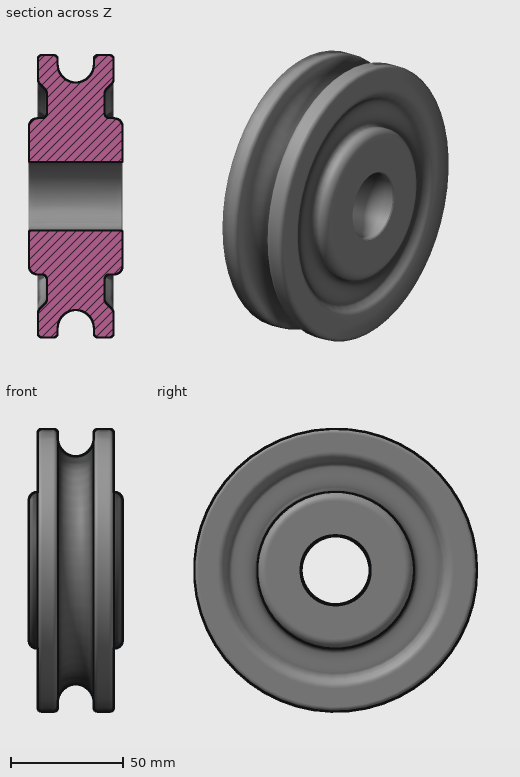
import cadquery as cq

wheel_radius = 63.0
rim_half_width = 17.0
hub_half_width = 20.98
hub_radius = 34.9
bore_radius = 15.1
bore_chamfer = 0.5

groove_radius = 8.0
groove_depth = 12.2

recess_depth = 4.0
recess_floor_radius = 46.9
recess_mouth_radius = recess_floor_radius + recess_depth

small_round = 2.0
large_round = 4.0

floor_half_width = rim_half_width - recess_depth
groove_center_radius = wheel_radius - groove_depth + groove_radius


def make_blank():
    """Revolve the sharp-edged section, drawn as (axial, radial) points."""
    section = (
        cq.Workplane("XY")
        .moveTo(-hub_half_width, bore_radius)
        .lineTo(-hub_half_width, hub_radius)
        .lineTo(-floor_half_width, hub_radius)
        .lineTo(-floor_half_width, recess_floor_radius)
        .lineTo(-rim_half_width, recess_mouth_radius)
        .lineTo(-rim_half_width, wheel_radius)
        .lineTo(-groove_radius, wheel_radius)
        .lineTo(-groove_radius, groove_center_radius)
        .threePointArc((0, wheel_radius - groove_depth), (groove_radius, groove_center_radius))
        .lineTo(groove_radius, wheel_radius)
        .lineTo(rim_half_width, wheel_radius)
        .lineTo(rim_half_width, recess_mouth_radius)
        .lineTo(floor_half_width, recess_floor_radius)
        .lineTo(floor_half_width, hub_radius)
        .lineTo(hub_half_width, hub_radius)
        .lineTo(hub_half_width, bore_radius)
        .close()
    )
    return section.revolve(360, (0, 0, 0), (1, 0, 0))


def circle_edges(body, axial, radius):
    """Select the pair of circular edges at +/- axial with the given radius."""
    tolerance = 0.01
    return body.edges("%CIRCLE").filter(
        lambda edge: abs(abs(edge.Center().x) - axial) < tolerance
        and abs(edge.radius() - radius) < tolerance
    )


rounded_edges = [
    (hub_half_width, hub_radius, large_round),
    (floor_half_width, hub_radius, small_round),
    (floor_half_width, recess_floor_radius, small_round),
    (rim_half_width, recess_mouth_radius, large_round),
    (rim_half_width, wheel_radius, small_round),
    (groove_radius, wheel_radius, small_round),
]

wheel = make_blank()
for axial, radius, rounding in rounded_edges:
    wheel = circle_edges(wheel, axial, radius).fillet(rounding)

result = circle_edges(wheel, hub_half_width, bore_radius).chamfer(bore_chamfer)